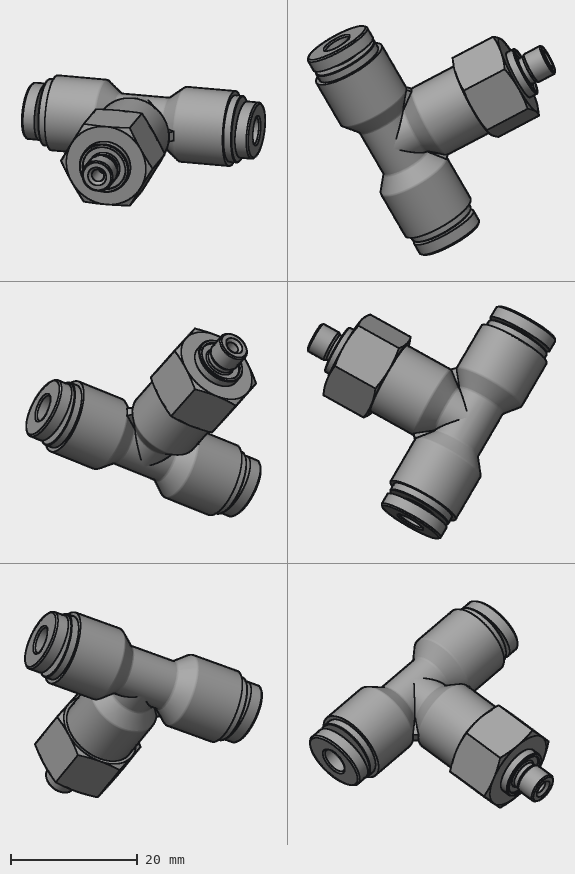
import cadquery as cq
import math


arm_dia = 11.9
waist_dia = 8.0
arm_end = 14.5
branch_end = 14.4
shoulder_outer = 6.5
shoulder_inner = waist_dia / 2
shoulder_fillet = 0.5
web_thickness = 1.5
web_reach = 6.55

ring_dia = 10.6
ring_length = 1.3
ring_chamfer = 0.1
ring_bore_dia = 4.18

sleeve_end = 18.5
head_length = 2.1
head_width = 10.75
head_height = 8.75
head_chamfer = 0.25
sleeve_neck_dia = 5.5
sleeve_bore_dia = 4.2
sleeve_bore_chamfer = 0.25

hex_across_flats = 13.0
hex_length = 8.05
hex_chamfer_angle = 20.0
flange_dia = 8.0
flange_length = 1.37
flange_chamfer = 0.1
recess_dia = 7.0
recess_depth = 0.37
stem_neck_dia = 4.5
stem_neck_length = 0.65
neck_root = 0.25
thread_dia = 5.0
thread_lead_in = 0.37
thread_tip_chamfer = 0.22
stem_tip = 27.9
stem_bore_dia = 2.0
stem_bore_mouth_dia = 3.0
stem_bore_depth = 4.45


def revolve_about_x(points):
    """Solid of revolution about the X axis from (x, radius) points."""
    return cq.Workplane("XY").polyline(points).close().revolve(360, (0, 0, 0), (1, 0, 0))


def turned_arm(length):
    """Waist, cone and full-diameter arm along +X, with both shoulder edges rounded."""
    waist = waist_dia / 2
    outer = arm_dia / 2
    arm = revolve_about_x([
        (0, 0),
        (0, waist),
        (shoulder_inner, waist),
        (shoulder_outer, outer),
        (length, outer),
        (length, 0),
    ])
    shoulders = arm.edges("%CIRCLE").edges("not(<X or >X)")
    return shoulders.fillet(shoulder_fillet)


def corner_webs():
    """Thin plate filling both corners between the branch and the run."""
    outer = arm_dia / 2
    return (
        cq.Workplane("XY")
        .polyline([
            (0, 0),
            (-web_reach, 0),
            (-web_reach, -outer),
            (-outer, -web_reach),
            (outer, -web_reach),
            (web_reach, -outer),
            (web_reach, 0),
        ])
        .close()
        .extrude(web_thickness / 2, both=True)
    )


def make_tee_body():
    run_arm = turned_arm(arm_end)
    body = run_arm.union(run_arm.mirror("YZ"))
    body = body.union(turned_arm(branch_end).rotate((0, 0, 0), (0, 0, 1), -90))
    return body.union(corner_webs())


def make_guide_ring():
    """Ring on the +X end of the run, bored in line with the sleeve."""
    return (
        cq.Workplane("YZ", origin=(arm_end, 0, 0))
        .circle(ring_dia / 2)
        .extrude(ring_length)
        .faces(">X").edges().chamfer(ring_chamfer)
        .faces(">X").workplane(centerOption="CenterOfMass")
        .hole(ring_bore_dia)
    )


def make_release_sleeve():
    """Sleeve on the +X end of the run: an oval head on a neck that meets the ring, bored through."""
    head_start = sleeve_end - head_length
    neck_start = arm_end + ring_length
    head = (
        cq.Workplane("YZ", origin=(head_start, 0, 0))
        .ellipse(head_width / 2, head_height / 2)
        .extrude(head_length)
        .faces(">X").edges().chamfer(head_chamfer)
    )
    neck = (
        cq.Workplane("YZ", origin=(neck_start, 0, 0))
        .circle(sleeve_neck_dia / 2)
        .extrude(head_start - neck_start)
    )
    sleeve = head.union(neck).faces(">X").workplane(centerOption="CenterOfMass").hole(sleeve_bore_dia)
    return sleeve.faces(">X").edges("%CIRCLE").chamfer(sleeve_bore_chamfer)


def make_hex():
    """Hexagon along +X with conical chamfers on the corners at both ends."""
    flat_radius = hex_across_flats / 2
    corner_radius = flat_radius / math.cos(math.pi / 6)
    chamfer_length = (corner_radius - flat_radius) * math.tan(math.radians(hex_chamfer_angle))
    end = branch_end + hex_length
    prism = (
        cq.Workplane("YZ", origin=(branch_end, 0, 0))
        .polygon(6, 2 * corner_radius)
        .extrude(hex_length)
    )
    envelope = revolve_about_x([
        (branch_end, 0),
        (branch_end, flat_radius),
        (branch_end + chamfer_length, corner_radius),
        (end - chamfer_length, corner_radius),
        (end, flat_radius),
        (end, 0),
    ])
    return prism.intersect(envelope)


def make_hex_stem():
    """Hex, sealing flange and threaded spigot with a blind bore, turned to point along -Y."""
    hex_end = branch_end + hex_length
    flange_end = hex_end + flange_length
    recess_floor = flange_end - recess_depth
    neck_end = flange_end + stem_neck_length
    flange_radius = flange_dia / 2
    thread_radius = thread_dia / 2
    spigot = revolve_about_x([
        (hex_end, 0),
        (hex_end, flange_radius),
        (flange_end - flange_chamfer, flange_radius),
        (flange_end, flange_radius - flange_chamfer),
        (flange_end, recess_dia / 2),
        (recess_floor, recess_dia / 2),
        (recess_floor, thread_radius),
        (recess_floor + neck_root, stem_neck_dia / 2),
        (neck_end, stem_neck_dia / 2),
        (neck_end + thread_lead_in, thread_radius),
        (stem_tip - thread_tip_chamfer, thread_radius),
        (stem_tip, thread_radius - thread_tip_chamfer),
        (stem_tip, 0),
    ])
    bore_radius = stem_bore_dia / 2
    mouth_radius = stem_bore_mouth_dia / 2
    bore = revolve_about_x([
        (stem_tip, 0),
        (stem_tip, mouth_radius),
        (stem_tip - (mouth_radius - bore_radius), bore_radius),
        (stem_tip - stem_bore_depth, bore_radius),
        (stem_tip - stem_bore_depth, 0),
    ])
    return make_hex().union(spigot).cut(bore).rotate((0, 0, 0), (0, 0, 1), -90)


tee_body = make_tee_body()
hex_stem = make_hex_stem()
guide_rings = []
release_sleeves = []
for turn in (0, 180):
    guide_rings.append(make_guide_ring().rotate((0, 0, 0), (0, 0, 1), turn))
    release_sleeves.append(make_release_sleeve().rotate((0, 0, 0), (0, 0, 1), turn))

result = cq.Compound.makeCompound([
    tee_body.val(),
    hex_stem.val(),
    *[ring.val() for ring in guide_rings],
    *[sleeve.val() for sleeve in release_sleeves],
])